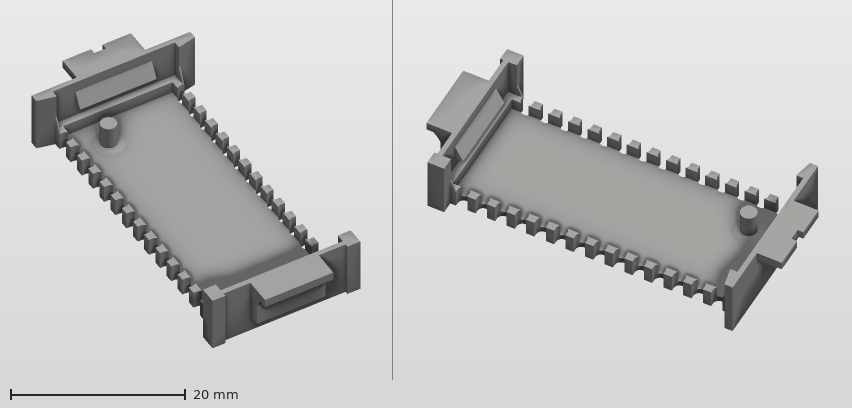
import cadquery as cq

overall_length = 46.0
total_height = 7.5
plate_width = 21.0

floor_thickness = 0.75
rim_height = 2.35
rim_width = 16.55
cavity_length = 36.4
cavity_width = 14.55

notch_count = 14
notch_row_length = 33.05
notch_width = 1.45
notch_depth = 1.2
notch_pitch = notch_row_length / (notch_count - 1)

wall_span = 39.45
wall_thickness = 0.65
recess_width = 16.2
plate_edge_thickness = 1.05
post_width = 19.6
post_thickness = 2.15
post_projection = 0.4

tab_width = 9.05
tab_thickness = 1.1
left_tab_length = 3.2
tab_notch_width = 1.5
tab_notch_depth = 0.75
bracket_length = 1.5
bracket_width = 1.5
bracket_bottom = 2.25
bracket_flare_height = 1.25
bracket_flare_length = 0.9
bracket_flare_sag = 0.1

wedge_width = 10.1
wedge_depth = 1.05
wedge_bottom = 4.05
wedge_top = 6.03

gusset_toe = 17.3
gusset_top = 4.32
gusset_sag = 0.05

pin_x = -14.55
pin_y = -3.35
pin_radius = 1.0
pin_top = 3.95
foot_radius = 2.02
foot_height = 0.25

wall_outer = wall_span / 2
wall_inner = wall_outer - wall_thickness
cavity_end = cavity_length / 2
rim_side = rim_width / 2
recess_side = recess_width / 2
right_tab_length = overall_length - wall_span - left_tab_length
tab_bottom = total_height - tab_thickness


def block(x_range, y_range, z_range):
    """Box that fills the given (low, high) ranges."""
    size = [high - low for low, high in (x_range, y_range, z_range)]
    corner = (x_range[0], y_range[0], z_range[0])
    return cq.Workplane("XY").box(*size, centered=False).translate(corner)


def centred(width):
    """Range of the given width centred on zero."""
    return (-width / 2, width / 2)


def extrude_profile(profile, width):
    """Extrude a closed XZ profile symmetrically about the XZ plane."""
    return profile.extrude(width / 2, both=True)


def make_tray():
    tray = block(centred(2 * wall_inner), centred(rim_width), (0, rim_height))
    cavity = block(centred(cavity_length), centred(cavity_width), (floor_thickness, rim_height))
    return tray.cut(cavity)


def make_notches():
    """Round-ended notches along both long sides, through the full rim height."""
    notch_length = 2 * notch_depth
    return (
        cq.Workplane("XY")
        .rarray(notch_pitch, rim_width, notch_count, 2)
        .slot2D(notch_length, notch_width, 90)
        .extrude(rim_height)
    )


def make_left_plate():
    """End wall whose wings carry thick pads that taper towards the tips."""
    plate_side = plate_width / 2
    tip_x = -wall_outer + plate_edge_thickness
    half_outline = [
        (-wall_outer, 0),
        (-wall_outer, plate_side),
        (tip_x, plate_side),
        (-cavity_end, rim_side),
        (-cavity_end, recess_side),
        (-wall_inner, recess_side),
        (-wall_inner, 0),
    ]
    half = cq.Workplane("XY").polyline(half_outline).close().extrude(total_height)
    return half.union(half.mirror("XZ"))


def make_recess():
    """Space between the side posts, reaching from the middle past the right end."""
    return block((0, overall_length), centred(recess_width), (0, total_height))


def make_right_wall():
    """End wall with a square-edged post at each side."""
    wall = block((wall_inner, wall_outer), centred(post_width), (0, total_height))
    post_outer = wall_outer + post_projection
    posts = block((post_outer - post_thickness, post_outer), centred(post_width), (0, total_height))
    return wall.union(posts.cut(make_recess()))


def make_tab(length, support_width):
    """Tab on the right wall, braced from below with a curved flare under the tab."""
    bracket_end = wall_outer + bracket_length
    flare_start = (bracket_end, tab_bottom - bracket_flare_height)
    flare_end = (bracket_end + bracket_flare_length, tab_bottom)
    tab = block((wall_inner, wall_outer + length), centred(tab_width), (tab_bottom, total_height))
    bracket = (
        cq.Workplane("XZ")
        .moveTo(wall_inner, bracket_bottom)
        .lineTo(bracket_end, bracket_bottom)
        .lineTo(*flare_start)
        .sagittaArc(flare_end, bracket_flare_sag)
        .lineTo(wall_inner, tab_bottom)
        .close()
    )
    return tab.union(extrude_profile(bracket, support_width))


def make_left_tab():
    """Tab with a narrow bracket and a square notch in its free edge."""
    tab = make_tab(left_tab_length, bracket_width).mirror("YZ")
    tab_end = -wall_outer - left_tab_length
    notch = block(
        (tab_end, tab_end + tab_notch_depth),
        centred(tab_notch_width),
        (tab_bottom, total_height),
    )
    return tab.cut(notch)


def make_wedge():
    """Latch wedge on the right wall, sloping inwards to a flat underside."""
    outline = [
        (wall_inner, wedge_top),
        (wall_inner - wedge_depth, wedge_bottom),
        (wall_inner, wedge_bottom),
    ]
    return extrude_profile(cq.Workplane("XZ").polyline(outline).close(), wedge_width)


def make_gussets():
    """Thin curved webs at both sides of the right wall."""
    web = (
        cq.Workplane("XZ")
        .moveTo(gusset_toe, rim_height)
        .sagittaArc((cavity_end, gusset_top), gusset_sag)
        .lineTo(cavity_end, rim_height)
        .close()
    )
    return extrude_profile(web, rim_width).cut(make_recess())


def make_pin():
    """Pin rising from the floor on a conical foot."""
    foot_top = floor_thickness + foot_height
    return (
        cq.Workplane("XZ")
        .polyline([
            (0, floor_thickness),
            (foot_radius, floor_thickness),
            (pin_radius, foot_top),
            (pin_radius, pin_top),
            (0, pin_top),
        ])
        .close()
        .revolve(360, (0, 0), (0, 1))
        .translate((pin_x, pin_y, 0))
    )


result = make_tray().cut(make_notches())
result = result.union(make_left_plate()).union(make_right_wall())
for end_feature in (make_wedge(), make_gussets()):
    result = result.union(end_feature).union(end_feature.mirror("YZ"))
result = result.union(make_left_tab())
result = result.union(make_tab(right_tab_length, tab_width))
result = result.union(make_pin())